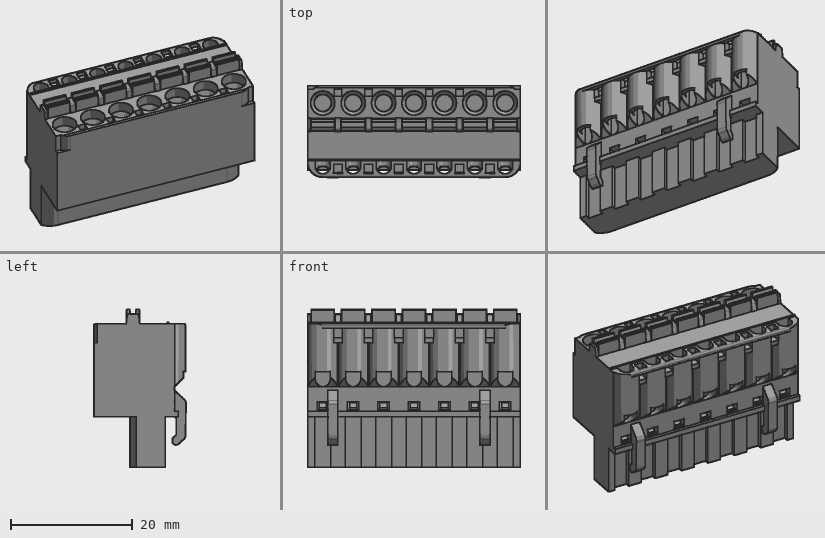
import cadquery as cq


length = 35.0
poles = 7
pitch = length / poles
half_length = length / 2
pole_xs = [(i - (poles - 1) / 2) * pitch for i in range(poles)]
gap_xs = [x + pitch / 2 for x in pole_xs[:-1]]

housing_back = 13.3
housing_bottom = 8.3
housing_top = 23.62
back_bevel_depth = 0.35
back_bevel_drop = 0.15

notch_depth = 0.6
notch_height = 3.15
notch_flat = 0.9
notch_width = 2.28

plug_front = 1.55
plug_side_back = 6.35
plug_back = 7.35
plug_corner_run = pitch / 2
key_width = 2.62
key_depth = 0.77

barrel_radius = pitch / 2
barrel_front = -1.8
barrel_y = barrel_front + barrel_radius
barrel_bottom = 13.25
wire_hole_width = 2.45
wire_hole_radius = wire_hole_width / 2
wire_hole_back = 0.95
wire_hole_y = 0.05
mouth_top = 15.75

flange_height = 0.77
flange_half_length = half_length - barrel_radius
flange_rounding = 0.28
front_pocket_width = 1.45
front_pocket_back = 0.4
front_pocket_front = -1.12
bridge_top = 21.3
bridge_bottom = 20.5
bridge_front = -1.0

actuator_diameter = 4.0
actuator_floor_diameter = 2.8
actuator_straight_depth = 1.85
actuator_cone_depth = 1.05
actuator_y = 10.43
back_pocket_size = 1.2
back_pocket_y = 12.1
back_pocket_depth = housing_top - bridge_top

ridge_y = 6.85
ridge_top = 25.25
ridge_base_half = 1.15
ridge_top_half = 0.88
ridge_fillet = 0.28
prong_length = 3.85
prong_outer_half = 1.1
prong_slot_top_half = 0.52
prong_slot_floor_half = 0.42
prong_end_slit = 0.1
prong_top = 26.0
prong_bevel_width = 0.2
prong_bevel_height = 0.15

rib_front = 0.95
rib_width = 0.25
rib_height = 0.2
rail_depth = 0.6
rail_height = 0.95

opening_width = 1.9
opening_bottom = 9.45
opening_height = 1.35
opening_depth = 1.22
ramp_width = 1.2
ramp_foot = 9.8
ramp_head = 10.6
ramp_front = 0.42

latch_width = 1.68
latch_front = -1.9
latch_root_top = 12.67
latch_bend = (-1.68, 11.05)
latch_bend_middle = (-1.85, 10.75)
latch_front_top = 10.35
latch_front_foot = (-1.8, 5.2)
latch_toe_middle = (-1.7, 4.85)
latch_toe = (-1.47, 4.6)
latch_hook_underside = (-0.7, 3.9)
latch_hook_lowest = (-0.2, 3.68)
latch_hook_tip = 0.4
latch_hook_tip_bottom = 4.05
latch_hook_tip_top = 4.75
latch_arm_back = -0.25
latch_arm_bottom = 5.35
latch_arm_top = 8.1
latch_gaps = (gap_xs[0], gap_xs[-1])


def box(x0, x1, y0, y1, z0, z1):
    return cq.Workplane("XY").box(x1 - x0, y1 - y0, z1 - z0, centered=False).translate((x0, y0, z0))


def centred_box(x, width, y0, y1, z0, z1):
    return box(x - width / 2, x + width / 2, y0, y1, z0, z1)


def along_x(points, x, width):
    """Prism of a (y, z) outline, centred on x."""
    return cq.Workplane("YZ").polyline(points).close().extrude(width / 2, both=True).translate((x, 0, 0))


def both_ends(solid):
    return solid.union(solid.mirror("YZ"))


def housing():
    outline = [
        (0, housing_bottom),
        (0, housing_top),
        (housing_back - back_bevel_depth, housing_top),
        (housing_back, housing_top - back_bevel_drop),
        (housing_back, housing_bottom),
    ]
    return along_x(outline, 0, length)


def corner_notches():
    """Cutouts in the upper back corners, curving out to meet the back wall smoothly."""
    curve_run = notch_width - notch_flat
    curve_radius = (curve_run**2 + notch_depth**2) / (2 * notch_depth)
    notch_y = housing_back - notch_depth
    notch = (
        cq.Workplane("XY", origin=(0, 0, housing_top - notch_height))
        .moveTo(-half_length, housing_back)
        .lineTo(-half_length + notch_width, housing_back)
        .radiusArc((-half_length + notch_flat, notch_y), -curve_radius)
        .lineTo(-half_length, notch_y)
        .close()
        .extrude(notch_height)
    )
    return both_ends(notch)


def plug():
    """Plug body with rounded back corners and a key groove in front of each pole."""
    left_half = (
        cq.Workplane("XY")
        .moveTo(0, plug_front)
        .lineTo(0, plug_back)
        .lineTo(-half_length + plug_corner_run, plug_back)
        .tangentArcPoint((-half_length, plug_side_back), relative=False)
        .lineTo(-half_length, plug_front)
        .close()
        .extrude(housing_bottom)
    )
    body = both_ends(left_half)
    for x in pole_xs:
        body = body.cut(centred_box(x, key_width, plug_front, plug_front + key_depth, 0, housing_bottom))
    return body


def barrels():
    """Round barrels, sloped at 45 degrees underneath and joined by the flange at the top."""
    slope_top = barrel_bottom - barrel_front
    slope = along_x(
        [(barrel_front, barrel_bottom), (0, barrel_bottom), (barrel_front, slope_top)], 0, length
    )
    row = cq.Workplane("XY")
    for x in pole_xs:
        barrel = cq.Workplane("XY", origin=(x, barrel_y, barrel_bottom)).circle(barrel_radius)
        row = row.union(barrel.extrude(housing_top - barrel_bottom))
    row = row.intersect(box(-half_length, half_length, barrel_front, barrel_y, barrel_bottom, housing_top))
    row = row.cut(slope)

    flange_bottom = housing_top - flange_height
    row = row.union(
        box(-flange_half_length, flange_half_length, barrel_front, barrel_y, flange_bottom, housing_top)
    )
    for x in gap_xs:
        row = row.union(centred_box(x, pitch, bridge_front, barrel_y, bridge_bottom, bridge_top))
    front_edge = (
        cq.Workplane("YZ", origin=(-half_length, 0, 0))
        .moveTo(barrel_front, housing_top)
        .lineTo(barrel_front, housing_top - flange_rounding)
        .radiusArc((barrel_front + flange_rounding, housing_top), flange_rounding)
        .close()
        .extrude(length)
    )
    return row.cut(front_edge)


def wire_entries():
    """D-shaped shafts from the top, each meeting a round-bottomed mouth in the front."""
    arc_front = wire_hole_y - wire_hole_radius
    mouth_centre = barrel_bottom + wire_hole_radius
    shafts = cq.Workplane("XY")
    for x in pole_xs:
        left = x - wire_hole_radius
        right = x + wire_hole_radius
        shaft = (
            cq.Workplane("XY", origin=(0, 0, mouth_centre))
            .moveTo(left, wire_hole_back)
            .lineTo(left, wire_hole_y)
            .threePointArc((x, arc_front), (right, wire_hole_y))
            .lineTo(right, wire_hole_back)
            .close()
            .extrude(housing_top - mouth_centre)
        )
        mouth = (
            cq.Workplane("XZ", origin=(0, wire_hole_back, 0))
            .moveTo(left, mouth_top)
            .lineTo(left, mouth_centre)
            .threePointArc((x, barrel_bottom), (right, mouth_centre))
            .lineTo(right, mouth_top)
            .close()
            .extrude(wire_hole_back - barrel_front)
        )
        shafts = shafts.union(shaft).union(mouth)
    return shafts


def front_pockets():
    pockets = cq.Workplane("XY")
    for x in gap_xs:
        pockets = pockets.union(
            centred_box(x, front_pocket_width, front_pocket_front, front_pocket_back, bridge_top, housing_top)
        )
    return pockets


def actuator_holes():
    holes = cq.Workplane("XY")
    for x in pole_xs:
        rim = cq.Workplane("XY", origin=(x, actuator_y, housing_top)).circle(actuator_diameter / 2)
        bore = rim.extrude(-actuator_straight_depth)
        cone = (
            bore.faces("<Z")
            .workplane(origin=(x, actuator_y, 0))
            .circle(actuator_diameter / 2)
            .workplane(offset=actuator_cone_depth)
            .circle(actuator_floor_diameter / 2)
            .loft(combine=True)
        )
        holes = holes.union(cone)
    return holes


def back_pockets():
    half = back_pocket_size / 2
    floor = housing_top - back_pocket_depth
    pockets = cq.Workplane("XY")
    for x in gap_xs:
        pockets = pockets.union(
            centred_box(x, back_pocket_size, back_pocket_y - half, back_pocket_y + half, floor, housing_top)
        )
    return pockets


def prong(x, side):
    """One prong with a bevelled outer edge and a leaning inner wall; side is +1 at the back, -1 in front."""
    outline = [
        (prong_outer_half, housing_top),
        (prong_outer_half, prong_top - prong_bevel_height),
        (prong_outer_half - prong_bevel_width, prong_top),
        (prong_slot_top_half, prong_top),
        (prong_slot_floor_half, ridge_top),
        (0, ridge_top),
        (0, housing_top),
    ]
    return along_x([(ridge_y + side * y, z) for y, z in outline], x, prong_length)


def ridge():
    outline = [
        (ridge_y + ridge_base_half, housing_top),
        (ridge_y + ridge_top_half, ridge_top),
        (ridge_y - ridge_top_half, ridge_top),
        (ridge_y - ridge_base_half, housing_top),
    ]
    seat = prong_length + 2 * prong_end_slit
    bar = along_x(outline, 0, length).faces(">Z").edges("|X").fillet(ridge_fillet)
    for x in pole_xs:
        bar = bar.cut(centred_box(x, seat, 0, housing_back, housing_top, prong_top))
        bar = bar.union(prong(x, 1)).union(prong(x, -1))
    return bar


def test_openings():
    openings = cq.Workplane("XY")
    for x in pole_xs:
        opening = centred_box(
            x, opening_width, 0, opening_depth, opening_bottom, opening_bottom + opening_height
        )
        ramp = along_x(
            [
                (ramp_front, opening_bottom),
                (ramp_front, ramp_foot),
                (opening_depth, ramp_head),
                (opening_depth, opening_bottom),
            ],
            x,
            ramp_width,
        )
        openings = openings.union(opening.cut(ramp))
    return openings


def latch(left):
    """Sprung latch arm hanging from the front wall, hooked at its lower end."""
    return (
        cq.Workplane("YZ", origin=(left, 0, 0))
        .moveTo(0, latch_root_top)
        .lineTo(*latch_bend)
        .threePointArc(latch_bend_middle, (latch_front, latch_front_top))
        .lineTo(*latch_front_foot)
        .threePointArc(latch_toe_middle, latch_toe)
        .lineTo(*latch_hook_underside)
        .threePointArc(latch_hook_lowest, (latch_hook_tip, latch_hook_tip_bottom))
        .lineTo(latch_hook_tip, latch_hook_tip_top)
        .lineTo(latch_arm_back, latch_arm_bottom)
        .lineTo(latch_arm_back, latch_arm_top)
        .lineTo(0, housing_bottom)
        .close()
        .extrude(latch_width)
    )


rail = box(-half_length, half_length, -rail_depth, 0, housing_bottom, housing_bottom + rail_height)
rib = box(-half_length, half_length, rib_front, rib_front + rib_width, housing_top, housing_top + rib_height)

result = housing().union(plug()).union(barrels()).union(rail).union(rib).union(ridge())
result = result.cut(corner_notches()).cut(wire_entries()).cut(front_pockets())
result = result.cut(actuator_holes()).cut(back_pockets()).cut(test_openings())
for gap_x in latch_gaps:
    result = result.union(latch(gap_x - latch_width))